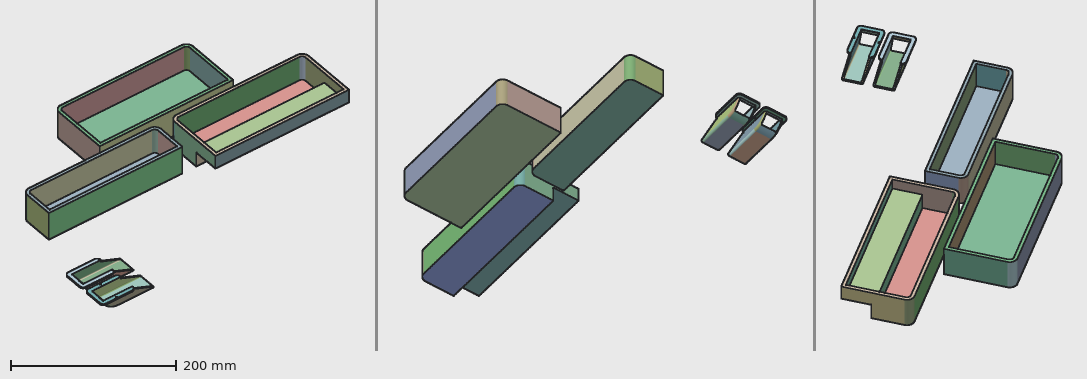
import cadquery as cq
import math

OVERALL_WIDTH = 310.0
OVERALL_LENGTH = 469.0

TRAY_LENGTH = 204.0
TRAY_HEIGHT = 42.0
WIDE_WIDTH = 90.0
NARROW_WIDTH = 52.0
TRAY_WALL = 4.5
TRAY_FLOOR = 5.0
TRAY_CORNER = 10.0
STEP_UNDERSIDE = 22.0
COLUMN_GAP = 10.0

WIDE_TRAY_Y = 165.0
NARROW_TRAY_Y = 40.0
STEPPED_TRAY_Y = OVERALL_LENGTH - TRAY_LENGTH
SECOND_COLUMN_X = WIDE_WIDTH + COLUMN_GAP

HANDLE_COUNT = 2
HANDLE_PITCH = 40.0
HANDLE_BASE = 4.5
HANDLE_TOP = 22.5
FLANGE_WIDTH = 34.5
FLANGE_LENGTH = 50.0
FLANGE_THICKNESS = 2.0
FLANGE_CORNER = 5.0
SCOOP_WIDTH = 27.0
SCOOP_BACK = 81.0
SCOOP_FLOOR = 3.0
SCOOP_EDGE = 3.0
SLOPE_DROP = 3.0
NOSE_RADIUS = 24.5
NOSE_CENTRE_Y = 27.5
CAVITY_WIDTH = 22.5
CAVITY_FRONT = 6.0
CAVITY_EDGE = 1.5
HOLE_DIAMETER = 2.0
HOLE_SPACING = 32.0
HOLE_Y = 22.5

FLANGE_BOTTOM = HANDLE_TOP - FLANGE_THICKNESS
LAST_HANDLE_X = OVERALL_WIDTH - FLANGE_WIDTH / 2
FIRST_HANDLE_X = LAST_HANDLE_X - (HANDLE_COUNT - 1) * HANDLE_PITCH


def rounded_block(x, y, z, width, length, height, radius):
    """A block placed by its low corner, with its two upright -X edges rounded."""
    block = cq.Workplane("XY").box(width, length, height, centered=False)
    return block.edges("|Z and <X").fillet(radius).translate((x, y, z))


def tray_outside(x, y, width):
    return rounded_block(x, y, 0, width, TRAY_LENGTH, TRAY_HEIGHT, TRAY_CORNER)


def tray_cavity(x, y, width, floor_top):
    """The inside of a tray whose outer low corner is at (x, y)."""
    return rounded_block(
        x + TRAY_WALL,
        y + TRAY_WALL,
        floor_top,
        width - 2 * TRAY_WALL,
        TRAY_LENGTH - 2 * TRAY_WALL,
        TRAY_HEIGHT - floor_top,
        TRAY_CORNER - TRAY_WALL,
    )


def plain_tray(x, y, width):
    return tray_outside(x, y, width).cut(tray_cavity(x, y, width, TRAY_FLOOR))


def stepped_tray(x, y):
    """A wide tray that is deep on the -X side and shallow on the +X side."""
    undercut = cq.Workplane("XY").box(
        WIDE_WIDTH - NARROW_WIDTH, TRAY_LENGTH, STEP_UNDERSIDE, centered=False
    )
    undercut = undercut.translate((x + NARROW_WIDTH, y, 0))
    shallow_cavity = tray_cavity(x, y, WIDE_WIDTH, STEP_UNDERSIDE + TRAY_FLOOR)
    deep_cavity = tray_cavity(x, y, NARROW_WIDTH, TRAY_FLOOR)
    return tray_outside(x, y, WIDE_WIDTH).cut(undercut).cut(shallow_cavity).cut(deep_cavity)


def handle_flange():
    flange = cq.Workplane("XY").box(
        FLANGE_WIDTH, FLANGE_LENGTH, FLANGE_THICKNESS, centered=(True, False, False)
    )
    return flange.edges("|Z").fillet(FLANGE_CORNER).translate((0, 0, FLANGE_BOTTOM))


def nose_point(angle):
    """A point (y, z) on the nose curve, by its angle below horizontal."""
    return (
        NOSE_CENTRE_Y - NOSE_RADIUS * math.cos(angle),
        HANDLE_BASE + NOSE_RADIUS * (1 - math.sin(angle)),
    )


def scoop_outside():
    """The solid scoop: round nose at -Y, flat underside, sloping back at +Y."""
    bottom_angle = math.pi / 2
    top_angle = math.asin(1 - (HANDLE_TOP - HANDLE_BASE) / NOSE_RADIUS)
    middle_angle = (top_angle + bottom_angle) / 2
    scoop = (
        cq.Workplane("YZ")
        .moveTo(NOSE_CENTRE_Y, HANDLE_BASE)
        .lineTo(SCOOP_BACK, HANDLE_BASE)
        .lineTo(SCOOP_BACK, HANDLE_BASE + SCOOP_FLOOR)
        .lineTo(FLANGE_LENGTH, HANDLE_TOP - SLOPE_DROP)
        .lineTo(FLANGE_LENGTH, HANDLE_TOP)
        .lineTo(*nose_point(top_angle))
        .threePointArc(nose_point(middle_angle), nose_point(bottom_angle))
        .close()
        .extrude(SCOOP_WIDTH / 2, both=True)
    )
    return scoop.faces("<Z").edges("|Y").fillet(SCOOP_EDGE)


def scoop_cavity():
    """A straight channel, open at the top and back, that breaks out through the nose."""
    channel = cq.Workplane("XY").box(
        CAVITY_WIDTH, SCOOP_BACK, HANDLE_TOP, centered=(True, False, False)
    )
    channel = channel.edges("|Y and <Z").fillet(CAVITY_EDGE)
    return channel.translate((0, CAVITY_FRONT, HANDLE_BASE + SCOOP_FLOOR))


def flange_holes():
    """Two small holes through the flange, one on each side of the scoop."""
    holes = cq.Workplane("XY").workplane(offset=FLANGE_BOTTOM)
    holes = holes.pushPoints([(-HOLE_SPACING / 2, HOLE_Y), (HOLE_SPACING / 2, HOLE_Y)])
    return holes.circle(HOLE_DIAMETER / 2).extrude(FLANGE_THICKNESS)


def handle(x, with_holes):
    """A handle centred on x, with its flange front at y = 0."""
    body = handle_flange().union(scoop_outside()).cut(scoop_cavity())
    if with_holes:
        body = body.cut(flange_holes())
    return body.translate((x, 0, 0))


wide_tray = plain_tray(0, WIDE_TRAY_Y, WIDE_WIDTH)
narrow_tray = plain_tray(SECOND_COLUMN_X, NARROW_TRAY_Y, NARROW_WIDTH)
deep_shallow_tray = stepped_tray(SECOND_COLUMN_X, STEPPED_TRAY_Y)

handles = []
for index in range(HANDLE_COUNT):
    is_last = index == HANDLE_COUNT - 1
    handles.append(handle(FIRST_HANDLE_X + index * HANDLE_PITCH, with_holes=is_last).solids().val())

result = cq.Compound.makeCompound(
    [
        wide_tray.solids().val(),
        narrow_tray.solids().val(),
        deep_shallow_tray.solids().val(),
        *handles,
    ]
)